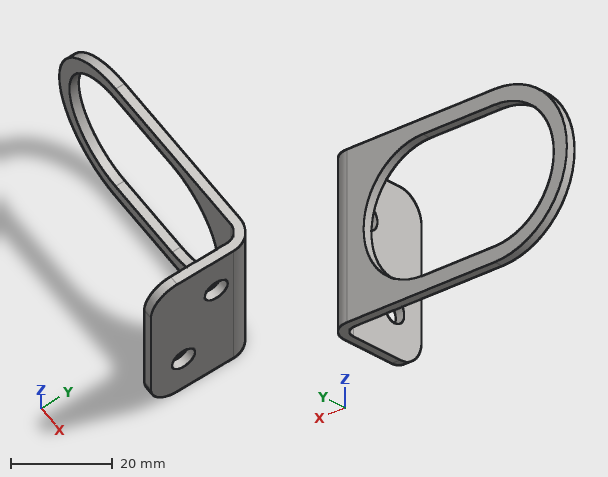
import cadquery as cq

length = 63.5
depth = 25.4
height = 38.1

thickness = 2.3
inner_bend_radius = 3.2
outer_bend_radius = inner_bend_radius + thickness

end_radius = height / 2
slot_radius = 15.55
slot_center_distance = 19.05

corner_radius = 6.35
hole_diameter = 5.5
hole_height = 8.75
upper_hole_setback = 9.65
lower_hole_setback = 17.5

left = -end_radius
right = left + length


def bent_sheet():
    """L-shaped sheet with a rounded bend, extruded over the height."""
    profile = (
        cq.Workplane("XY")
        .moveTo(left, 0)
        .lineTo(right, 0)
        .lineTo(right, -depth)
        .lineTo(right - thickness, -depth)
        .lineTo(right - thickness, -thickness)
        .lineTo(left, -thickness)
        .close()
    )
    sheet = profile.extrude(height / 2, both=True)
    outer_edge = cq.selectors.NearestToPointSelector((right, 0, 0))
    sheet = sheet.edges("|Z").edges(outer_edge).fillet(outer_bend_radius)
    inner_edge = cq.selectors.NearestToPointSelector((right - thickness, -thickness, 0))
    return sheet.edges("|Z").edges(inner_edge).fillet(inner_bend_radius)


def plate_slot():
    """Cutter for the large slot through the long plate."""
    return (
        cq.Workplane("XZ")
        .center(slot_center_distance / 2, 0)
        .slot2D(slot_center_distance + 2 * slot_radius, 2 * slot_radius)
        .extrude(thickness)
    )


def flange_holes():
    """Cutter for the two staggered holes through the flange."""
    centers = [(-upper_hole_setback, hole_height), (-lower_hole_setback, -hole_height)]
    return (
        cq.Workplane("YZ", origin=(right - thickness, 0, 0))
        .pushPoints(centers)
        .circle(hole_diameter / 2)
        .extrude(thickness)
    )


def round_plate_end(sheet):
    """Replace the square left end of the long plate with a half disc."""
    square_end = (
        cq.Workplane("XY")
        .box(end_radius, depth, height, centered=(False, True, True))
        .translate((left, 0, 0))
    )
    disc = cq.Workplane("XZ").circle(end_radius).extrude(thickness)
    return sheet.cut(square_end).union(disc)


bracket = round_plate_end(bent_sheet())
bracket = bracket.edges("|X and <Y").fillet(corner_radius)
result = bracket.cut(plate_slot()).cut(flange_holes())